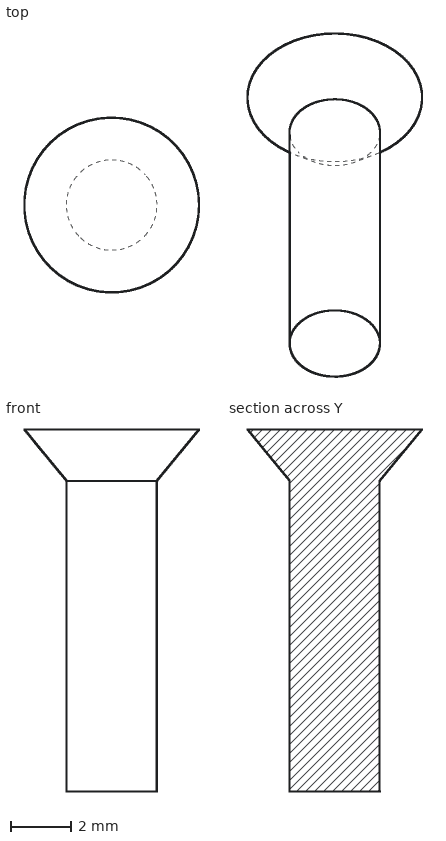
import cadquery as cq

total_length = 12.0
head_diameter = 5.8
head_height = 1.7
shank_diameter = 3.0

head_radius = head_diameter / 2
shank_radius = shank_diameter / 2
head_base_z = total_length - head_height


def countersunk_pin():
    """Revolve the half profile of shank and head about the Z axis."""
    half_profile = (
        cq.Workplane("XZ")
        .lineTo(shank_radius, 0)
        .lineTo(shank_radius, head_base_z)
        .lineTo(head_radius, total_length)
        .lineTo(0, total_length)
        .close()
    )
    return half_profile.revolve(360, (0, 0, 0), (0, 1, 0))


result = countersunk_pin()